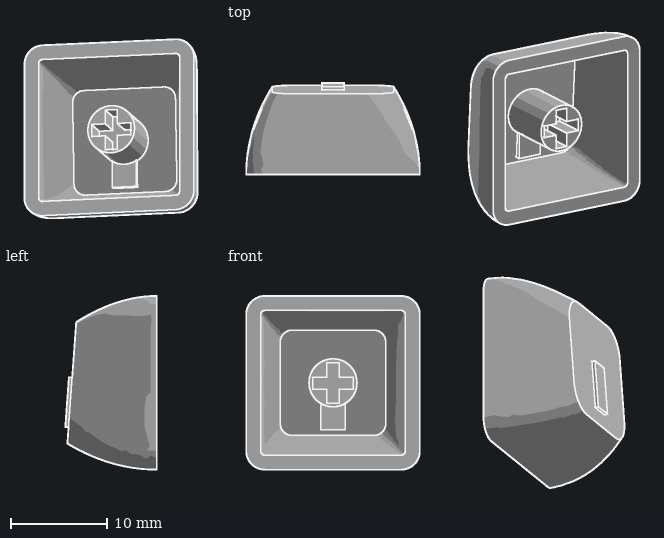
import cadquery as cq
import math


MOUTH_SIZE = 18.1
MOUTH_RADIUS = 1.97
ROOF_SIZE = 12.67
ROOF_RADIUS = 2.72
ROOF_TOP_Y = 8.4
ROOF_BOTTOM_Y = 9.32
ROOF_MID_Y = (ROOF_TOP_Y + ROOF_BOTTOM_Y) / 2
ROOF_TILT = math.degrees(math.atan((ROOF_BOTTOM_Y - ROOF_TOP_Y) / ROOF_SIZE))

WALL = 1.52
CAVITY_SIZE = MOUTH_SIZE - 2 * WALL
CAVITY_RADIUS = 0.45
FLOOR_SIZE = 10.97
FLOOR_RADIUS = 1.21
ROOF_THICKNESS = 1.52
FLOOR_MID_Y = ROOF_MID_Y - ROOF_THICKNESS

LOFT_STEPS = 4

STEM_DIAMETER = 5.0
STEM_START_Y = 1.0
CROSS_SPAN = 4.2
CROSS_ARM_WIDTH = 1.27
CROSS_CENTER_Z = -0.04
CROSS_DEPTH = 3.62

BLOCK_WIDTH = 2.57
BLOCK_BOTTOM_Z = -4.9
BLOCK_TOP_Z = 0.89
BLOCK_PROUD = 0.18
BLOCK_START_Y = FLOOR_MID_Y - BLOCK_PROUD
BLOCK_END_MID_Y = ROOF_MID_Y - ROOF_THICKNESS / 4
PAD_WIDTH = 2.32
PAD_TOP_Z = 0.6
PAD_BOTTOM_Z = -4.62
PAD_HEIGHT = 0.35


def tilted_plane(y, tilt):
    """Plane facing +Y at height y on the axis, leaning about X by tilt degrees."""
    angle = math.radians(tilt)
    return cq.Plane(origin=(0, y, 0), xDir=(1, 0, 0), normal=(0, math.cos(angle), math.sin(angle)))


def rounded_square(size, radius, plane):
    """Wire of a rounded square centred on the plane origin."""
    square = cq.Workplane(plane).rect(size, size).wires().val()
    return square.fillet2D(radius, square.Vertices())


def bowed_block(mouth_size, mouth_radius, end_size, end_radius, end_y):
    """Block that leaves the mouth square to it and narrows along a parabola to a tilted end."""
    sections = []
    for step in range(LOFT_STEPS + 1):
        t = step / LOFT_STEPS
        narrowing = t**2
        size = mouth_size + (end_size - mouth_size) * narrowing
        radius = mouth_radius + (end_radius - mouth_radius) * narrowing
        sections.append(rounded_square(size, radius, tilted_plane(end_y * t, ROOF_TILT * t)))
    return cq.Workplane(cq.Solid.makeLoft(sections))


def box_between(width, z_low, z_high, y_low, y_high):
    """Box centred on X = 0."""
    return cq.Workplane().box(width, y_high - y_low, z_high - z_low).translate(
        (0, (y_low + y_high) / 2, (z_low + z_high) / 2)
    )


def roof_half_space(y):
    """Large slab that fills the mouth side of the tilted plane at y."""
    return cq.Workplane(tilted_plane(y, ROOF_TILT)).rect(2 * MOUTH_SIZE, 2 * MOUTH_SIZE).extrude(-MOUTH_SIZE)


def make_stem():
    """Round post that reaches halfway into the roof, with a blind cross socket in its free end."""
    end_plane = tilted_plane(STEM_START_Y, 0)
    stem = cq.Workplane(end_plane).circle(STEM_DIAMETER / 2).extrude(ROOF_MID_Y - STEM_START_Y)
    stem = stem.intersect(roof_half_space(FLOOR_MID_Y + ROOF_THICKNESS / 2))
    socket_end_y = STEM_START_Y + CROSS_DEPTH
    for width, height in ((CROSS_SPAN, CROSS_ARM_WIDTH), (CROSS_ARM_WIDTH, CROSS_SPAN)):
        low = CROSS_CENTER_Z - height / 2
        stem = stem.cut(box_between(width, low, low + height, STEM_START_Y, socket_end_y))
    return stem


def make_legend():
    """Insert whose block shows on the cavity floor and whose pad stands above the roof."""
    block = box_between(BLOCK_WIDTH, BLOCK_BOTTOM_Z, BLOCK_TOP_Z, BLOCK_START_Y, MOUTH_SIZE)
    block = block.intersect(roof_half_space(BLOCK_END_MID_Y))
    pad = box_between(PAD_WIDTH, PAD_BOTTOM_Z, PAD_TOP_Z, FLOOR_MID_Y, MOUTH_SIZE)
    pad = pad.intersect(roof_half_space(ROOF_MID_Y + PAD_HEIGHT))
    return block.union(pad)


def make_cap(legend):
    """Hollow cap with its stem and a matching opening for the legend insert."""
    shell = bowed_block(MOUTH_SIZE, MOUTH_RADIUS, ROOF_SIZE, ROOF_RADIUS, ROOF_MID_Y)
    cavity = bowed_block(CAVITY_SIZE, CAVITY_RADIUS, FLOOR_SIZE, FLOOR_RADIUS, FLOOR_MID_Y)
    return shell.cut(cavity).union(make_stem()).cut(legend)


legend = make_legend()
cap = make_cap(legend)
result = cq.Compound.makeCompound([cap.val(), legend.val()])